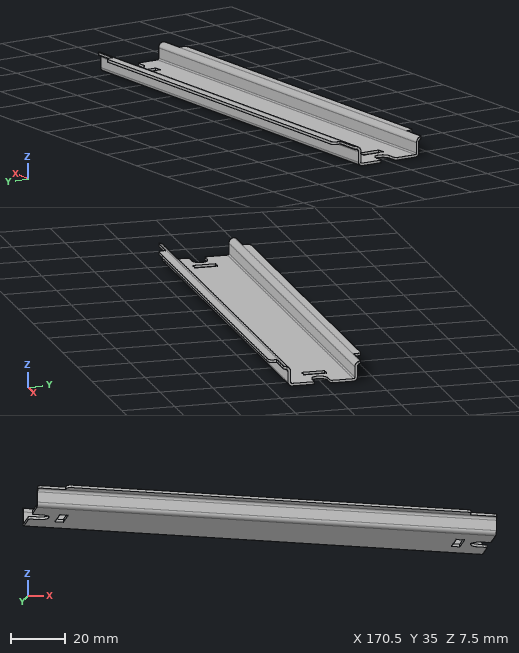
import cadquery as cq

length = 170.5
width = 35.0
height = 7.5
thickness = 1.0

channel_inner_width = 24.2
base_inner_radius = 0.5
lip_inner_radius = 1.0

end_setback = 10.0
end_width = 29.2
lip_corner_radius = 1.5
end_corner_radius = 1.0

notch_width = 5.8
notch_depth = 6.8
notch_mouth_radius = 0.9
slot_length = 8.5
slot_width = 3.0

base_outer_radius = base_inner_radius + thickness
lip_outer_radius = lip_inner_radius + thickness
wall_inner_y = channel_inner_width / 2
wall_outer_y = wall_inner_y + thickness
lip_length = length - 2 * end_setback


def make_half_rail():
    """Extrude the +Y half of the bent section, with all four bends as arcs."""
    lip_bend_y = wall_inner_y + lip_outer_radius
    base_bend_y = wall_inner_y - base_inner_radius
    lip_bend_z = height - lip_outer_radius
    base_bend_z = base_outer_radius
    return (
        cq.Workplane("YZ")
        .workplane(offset=-length / 2)
        .moveTo(0, 0)
        .lineTo(base_bend_y, 0)
        .radiusArc((wall_outer_y, base_bend_z), -base_outer_radius)
        .lineTo(wall_outer_y, lip_bend_z)
        .radiusArc((lip_bend_y, height - thickness), lip_inner_radius)
        .lineTo(width / 2, height - thickness)
        .lineTo(width / 2, height)
        .lineTo(lip_bend_y, height)
        .radiusArc((wall_inner_y, lip_bend_z), -lip_outer_radius)
        .lineTo(wall_inner_y, base_bend_z)
        .radiusArc((base_bend_y, thickness), base_inner_radius)
        .lineTo(0, thickness)
        .close()
        .extrude(length)
    )


def rounded_plate(plate_length, plate_width, corner_radius):
    """Make a full-height plate with rounded vertical edges."""
    plate = cq.Workplane("XY").rect(plate_length, plate_width).extrude(height)
    return plate.edges("|Z").fillet(corner_radius)


def make_notch(side):
    """Make the cutter for a round-bottomed end notch with a rounded mouth."""
    half_width = notch_width / 2
    end_x = side * length / 2
    mouth_x = end_x - side * notch_mouth_radius
    bottom_x = end_x - side * notch_depth
    straight_end_x = bottom_x + side * half_width
    mouth_y = half_width + notch_mouth_radius
    mouth_arc_radius = side * notch_mouth_radius
    return (
        cq.Workplane("XY")
        .moveTo(end_x, -mouth_y)
        .radiusArc((mouth_x, -half_width), -mouth_arc_radius)
        .lineTo(straight_end_x, -half_width)
        .threePointArc((bottom_x, 0), (straight_end_x, half_width))
        .lineTo(mouth_x, half_width)
        .radiusArc((end_x, mouth_y), -mouth_arc_radius)
        .close()
        .extrude(height)
    )


half_rail = make_half_rail()
rail = half_rail.union(half_rail.mirror("XZ"))

lip_outline = rounded_plate(lip_length, width, lip_corner_radius)
end_outline = rounded_plate(length, end_width, end_corner_radius)
rail = rail.intersect(lip_outline.union(end_outline))

slot_x = (lip_length - slot_width) / 2
for side in (-1, 1):
    slot = cq.Workplane("XY").center(side * slot_x, 0).rect(slot_width, slot_length).extrude(height)
    rail = rail.cut(make_notch(side)).cut(slot)

result = rail